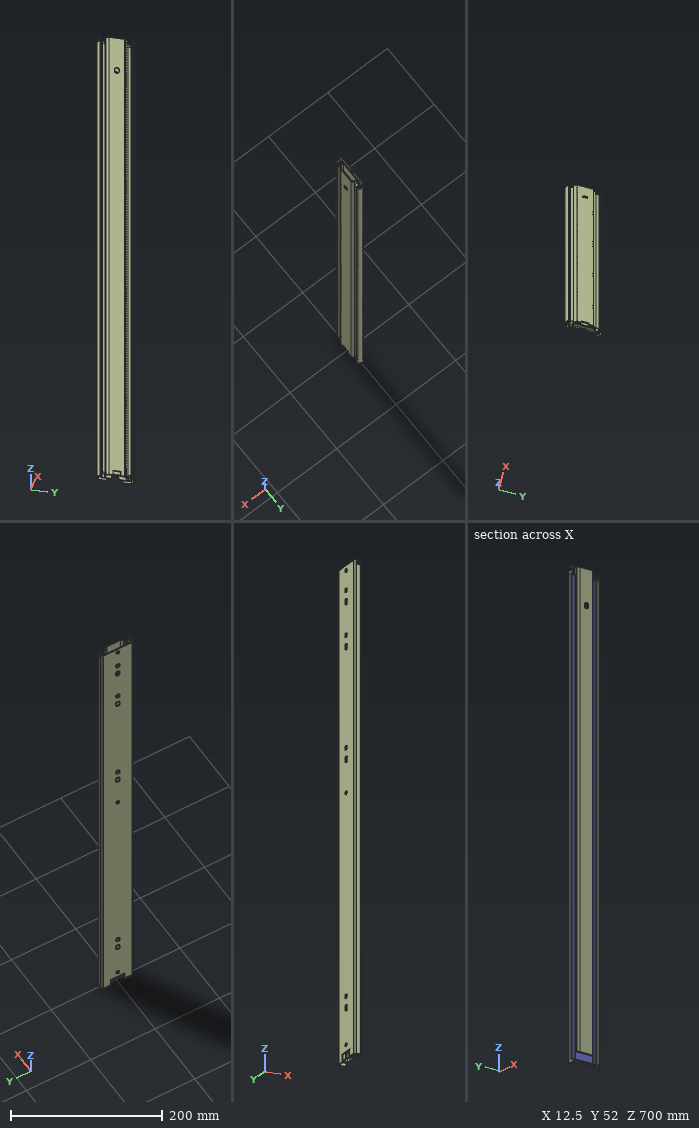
import cadquery as cq
import math

LENGTH = 700.0
DEPTH = 12.5
HALF_WIDTH = 26.0
SHEET = 1.5
GAP = 1.0

OUTER_WEB_HALF = 22.5
OUTER_BEND_X = 3.5
OUTER_DEPTH = 11.0
CREST_X = 5.5
CREST_RISE = 0.35
BEND_Y = HALF_WIDTH - CREST_RISE
CREST_RUN = CREST_X - OUTER_BEND_X
FLANGE_RADIUS = (CREST_RUN**2 + CREST_RISE**2) / (2 * CREST_RISE)
LIP_Y = HALF_WIDTH - FLANGE_RADIUS + math.sqrt(FLANGE_RADIUS**2 - (OUTER_DEPTH - CREST_X) ** 2)

MIDDLE_BACK_X = SHEET + GAP
MIDDLE_FRONT_X = MIDDLE_BACK_X + SHEET
MIDDLE_DEPTH = 10.5
MIDDLE_HALF_WIDTH = 21.0
MIDDLE_BEND = 1.5

INNER_FACE_HALF = 11.0
INNER_HALF_WIDTH = 15.5
INNER_SHOULDER_X = 10.0
INNER_EDGE_X = 5.0
SHOULDER_SHIFT = 1.0

MOVING_BOTTOM = 3.0
MIDDLE_TOP = 692.0

RETAINER_FRONT_X = 10.0
OUTER_RETAINER_BACK_X = 3.0
OUTER_RETAINER_WIDTH = 1.5
INNER_RETAINER_BACK_X = 5.0
RETAINER_BOTTOM = 7.0
RETAINER_TOP = 689.5

ROUND_DIAMETER = 6.0
SLOT_WIDTH = 6.0
SLOT_HEIGHT = 8.5
SMALL_DIAMETER = 5.0
PAIR_STEP = 16.0
PAIR_HEIGHTS = [89.0, 441.0, 600.5, 664.0]
SMALL_HEIGHTS = [20.0, 377.0, 692.0]
ACCESS_HEIGHT = PAIR_HEIGHTS[-1] - PAIR_STEP

OUTER_NOTCH_WIDTH = 22.5
OUTER_NOTCH_HEIGHT = 10.5
MOVING_NOTCH_WIDTH = 10.5
MOVING_NOTCH_HEIGHT = 7.0
MOVING_NOTCH_TOP = MOVING_BOTTOM + MOVING_NOTCH_HEIGHT

WINDOW_BOTTOM = 694.0
WINDOW_TOP = 698.0
WINDOW_START_X = 5.0
WINDOW_END_X = 10.0

BUMPER_FRONT_X = 9.0
BUMPER_BOTTOM = 6.0
BUMPER_TOP = 19.0
BUMPER_SLOPE = 4.0
TONGUE_WIDTH = 3.0
TONGUE_LENGTH = 3.0


def both_sides(half_section, bottom, top):
    """Extrude a half section lying on the +Y side and mirror it to the -Y side."""
    half = half_section.close().extrude(top - bottom).translate((0, 0, bottom))
    return half.union(half.mirror("XZ")).clean()


def block(x_start, x_end, width, bottom, top):
    """Box centred on Y = 0."""
    return (
        cq.Workplane("XY")
        .box(x_end - x_start, width, top - bottom, centered=(False, True, False))
        .translate((x_start, 0, bottom))
    )


def round_cutter(height, diameter):
    """Round cutter through the web of the outer rail."""
    return cq.Workplane("YZ").center(0, height).circle(diameter / 2).extrude(SHEET)


def slot_cutter(height, depth):
    """Upright slot cutter, from the back of the slide to the given depth."""
    return cq.Workplane("YZ").center(0, height).slot2D(SLOT_HEIGHT, SLOT_WIDTH, 90).extrude(depth)


def make_outer_rail():
    section = (
        cq.Workplane("XY")
        .lineTo(0, OUTER_WEB_HALF)
        .lineTo(OUTER_BEND_X, BEND_Y)
        .threePointArc((CREST_X, HALF_WIDTH), (OUTER_DEPTH, LIP_Y))
        .lineTo(OUTER_DEPTH, LIP_Y - SHEET)
        .threePointArc((CREST_X, HALF_WIDTH - SHEET), (OUTER_BEND_X, BEND_Y - SHEET))
        .lineTo(SHEET, OUTER_WEB_HALF)
        .lineTo(SHEET, 0)
    )
    rail = both_sides(section, 0, LENGTH)
    for height in PAIR_HEIGHTS:
        rail = rail.cut(round_cutter(height, ROUND_DIAMETER))
        rail = rail.cut(slot_cutter(height - PAIR_STEP, SHEET))
    for height in SMALL_HEIGHTS:
        rail = rail.cut(round_cutter(height, SMALL_DIAMETER))
    rail = rail.cut(block(0, SHEET, OUTER_NOTCH_WIDTH, 0, OUTER_NOTCH_HEIGHT))
    windows = block(WINDOW_START_X, WINDOW_END_X, 2 * HALF_WIDTH, WINDOW_BOTTOM, WINDOW_TOP)
    return rail.cut(windows)


def finish_moving_rail(rail):
    """Cut the access slot and the bottom notch shared by the two moving rails."""
    rail = rail.cut(slot_cutter(ACCESS_HEIGHT, DEPTH))
    return rail.cut(block(0, DEPTH, MOVING_NOTCH_WIDTH, MOVING_BOTTOM, MOVING_NOTCH_TOP))


def make_intermediate_rail():
    inside_half_width = MIDDLE_HALF_WIDTH - SHEET
    section = (
        cq.Workplane("XY")
        .moveTo(MIDDLE_BACK_X, 0)
        .lineTo(MIDDLE_BACK_X, MIDDLE_HALF_WIDTH - MIDDLE_BEND)
        .lineTo(MIDDLE_BACK_X + MIDDLE_BEND, MIDDLE_HALF_WIDTH)
        .lineTo(MIDDLE_DEPTH, MIDDLE_HALF_WIDTH)
        .lineTo(MIDDLE_DEPTH, inside_half_width)
        .lineTo(MIDDLE_FRONT_X + MIDDLE_BEND, inside_half_width)
        .lineTo(MIDDLE_FRONT_X, inside_half_width - MIDDLE_BEND)
        .lineTo(MIDDLE_FRONT_X, 0)
    )
    return finish_moving_rail(both_sides(section, MOVING_BOTTOM, MIDDLE_TOP))


def make_inner_rail():
    inside_half_width = INNER_HALF_WIDTH - SHEET
    section = (
        cq.Workplane("XY")
        .moveTo(DEPTH, 0)
        .lineTo(DEPTH, INNER_FACE_HALF)
        .lineTo(INNER_SHOULDER_X, INNER_HALF_WIDTH)
        .lineTo(INNER_EDGE_X, INNER_HALF_WIDTH)
        .lineTo(INNER_EDGE_X, inside_half_width)
        .lineTo(INNER_SHOULDER_X - SHOULDER_SHIFT, inside_half_width)
        .lineTo(DEPTH - SHEET, INNER_FACE_HALF - SHOULDER_SHIFT)
        .lineTo(DEPTH - SHEET, 0)
    )
    return finish_moving_rail(both_sides(section, MOVING_BOTTOM, LENGTH))


def make_retainer(back_x, near_y, width, side):
    """Ball retainer strip in the race beyond near_y, on the +Y (1) or -Y (-1) side."""
    strip = block(back_x, RETAINER_FRONT_X, width, RETAINER_BOTTOM, RETAINER_TOP)
    return strip.translate((0, side * (near_y + width / 2), 0))


def make_bumper():
    """Stop seated between the inner rail's flanges, with a tongue pointing down."""
    width = 2 * (INNER_HALF_WIDTH - SHEET)
    body = block(MIDDLE_FRONT_X, BUMPER_FRONT_X, width, BUMPER_BOTTOM, BUMPER_TOP)
    body = body.edges("<X and <Z").chamfer(BUMPER_SLOPE)
    tongue_back_x = MIDDLE_FRONT_X + BUMPER_SLOPE
    tongue_bottom = BUMPER_BOTTOM - TONGUE_LENGTH
    tongue = block(tongue_back_x, BUMPER_FRONT_X, TONGUE_WIDTH, tongue_bottom, BUMPER_BOTTOM)
    return body.union(tongue)


outer_rail = make_outer_rail()
intermediate_rail = make_intermediate_rail()
inner_rail = make_inner_rail()
bumper = make_bumper()

inner_retainer_width = MIDDLE_HALF_WIDTH - SHEET - INNER_HALF_WIDTH
retainers = []
for side in (-1, 1):
    retainers.append(make_retainer(OUTER_RETAINER_BACK_X, MIDDLE_HALF_WIDTH, OUTER_RETAINER_WIDTH, side))
    retainers.append(make_retainer(INNER_RETAINER_BACK_X, INNER_HALF_WIDTH, inner_retainer_width, side))

result = cq.Compound.makeCompound([
    outer_rail.val(),
    intermediate_rail.val(),
    inner_rail.val(),
    bumper.val(),
    *[retainer.val() for retainer in retainers],
])